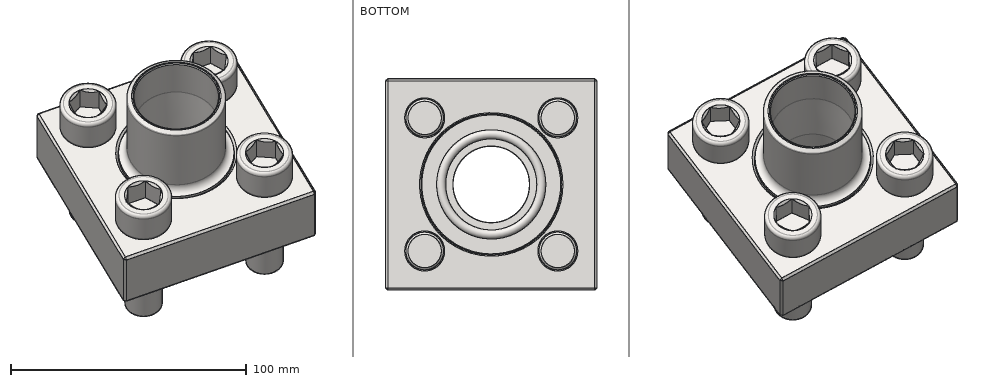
import cadquery as cq
import math

FLANGE_SIDE = 90.0
FLANGE_THICKNESS = 29.0
EDGE_CHAMFER = 1.0
NECK_HOLE_DIAMETER = 49.5
COLLAR_HOLE_DIAMETER = 61.0
SCREW_HOLE_DIAMETER = 17.0

SCREW_DIAMETER = 16.0
SCREW_LENGTH = 55.0
BOLT_CIRCLE_DIAMETER = 80.0
TIP_CHAMFER = 0.9
HEAD_DIAMETER = 24.0
HEAD_HEIGHT = SCREW_DIAMETER
HEAD_FILLET = 1.6
SOCKET_CORNER_DIAMETER = 16.2
SOCKET_DEPTH = 11
SOCKET_SIDES = 6
SOCKET_COUNTERSINK_ANGLE = 45
SCREW_COUNT = 4
SCREW_TURN = 360 / SCREW_COUNT

TOTAL_HEIGHT = 92
NECK_TOP = TOTAL_HEIGHT - (SCREW_LENGTH - FLANGE_THICKNESS)
PIPE_DIAMETER = 42.0
PIPE_BORE_DIAMETER = 36.0
PIPE_TIP_DIAMETER = 38.0
PIPE_BEVEL_ANGLE = 30
BEVEL_FILLET = 0.4
BORE_MOUTH_CHAMFER = 0.5
NECK_DIAMETER = 49.0
BORE_DIAMETER = 32.5
PIPE_BORE_DEPTH = 18.4
BORE_TAPER_LENGTH = 25.0
COLLAR_DIAMETER = 60.0
COLLAR_BOTTOM = -2.0
COLLAR_HEIGHT = 16.0
COLLAR_CHAMFER = 0.5

O_RING_OUTER_DIAMETER = 46.5
O_RING_INNER_DIAMETER = 38.7
O_RING_PROTRUSION = 0.9

COLLAR_TOP = COLLAR_BOTTOM + COLLAR_HEIGHT
SCREW_SPACING = BOLT_CIRCLE_DIAMETER / math.sqrt(2)
O_RING_SECTION = (O_RING_OUTER_DIAMETER - O_RING_INNER_DIAMETER) / 2
GROOVE_DEPTH = O_RING_SECTION - O_RING_PROTRUSION


def make_flange():
    """Chamfered block, stepped to hold the collar from above and drilled for the screws."""
    block = (
        cq.Workplane("XY")
        .box(FLANGE_SIDE, FLANGE_SIDE, FLANGE_THICKNESS, centered=(True, True, False))
        .edges()
        .chamfer(EDGE_CHAMFER)
    )
    hole_radius = NECK_HOLE_DIAMETER / 2
    neck_hole = cq.Workplane("XY").circle(hole_radius).extrude(FLANGE_THICKNESS)
    mouth_chamfer = cq.Workplane(
        cq.Solid.makeCone(
            hole_radius,
            hole_radius + EDGE_CHAMFER,
            EDGE_CHAMFER,
            pnt=cq.Vector(0, 0, FLANGE_THICKNESS - EDGE_CHAMFER),
        )
    )
    collar_recess = cq.Workplane("XY").circle(COLLAR_HOLE_DIAMETER / 2).extrude(COLLAR_TOP)
    screw_holes = (
        cq.Workplane("XY")
        .rect(SCREW_SPACING, SCREW_SPACING, forConstruction=True)
        .vertices()
        .circle(SCREW_HOLE_DIAMETER / 2)
        .extrude(FLANGE_THICKNESS)
    )
    return block.cut(neck_hole).cut(mouth_chamfer).cut(collar_recess).cut(screw_holes)


def make_neck():
    """Turned welding neck, with the O-ring groove cut into its bottom face."""
    pipe_radius = PIPE_DIAMETER / 2
    neck_radius = NECK_DIAMETER / 2
    collar_radius = COLLAR_DIAMETER / 2
    fillet_radius = neck_radius - pipe_radius
    fillet_top = FLANGE_THICKNESS + fillet_radius
    arc_mid_offset = fillet_radius * math.sqrt(0.5)
    bevel_width = (PIPE_DIAMETER - PIPE_TIP_DIAMETER) / 2
    bevel_height = bevel_width * math.tan(math.radians(PIPE_BEVEL_ANGLE))
    taper_top = NECK_TOP - PIPE_BORE_DEPTH
    profile = (
        cq.Workplane("XZ")
        .moveTo(BORE_DIAMETER / 2, COLLAR_BOTTOM)
        .lineTo(collar_radius - COLLAR_CHAMFER, COLLAR_BOTTOM)
        .lineTo(collar_radius, COLLAR_BOTTOM + COLLAR_CHAMFER)
        .lineTo(collar_radius, COLLAR_TOP)
        .lineTo(neck_radius, COLLAR_TOP)
        .lineTo(neck_radius, FLANGE_THICKNESS)
        .threePointArc(
            (neck_radius - arc_mid_offset, fillet_top - arc_mid_offset),
            (pipe_radius, fillet_top),
        )
        .lineTo(pipe_radius, NECK_TOP - bevel_height)
        .lineTo(PIPE_TIP_DIAMETER / 2, NECK_TOP)
        .lineTo(PIPE_BORE_DIAMETER / 2 + BORE_MOUTH_CHAMFER, NECK_TOP)
        .lineTo(PIPE_BORE_DIAMETER / 2, NECK_TOP - BORE_MOUTH_CHAMFER)
        .lineTo(PIPE_BORE_DIAMETER / 2, taper_top)
        .lineTo(BORE_DIAMETER / 2, taper_top - BORE_TAPER_LENGTH)
        .close()
    )
    groove = (
        cq.Workplane("XY", origin=(0, 0, COLLAR_BOTTOM))
        .circle(O_RING_OUTER_DIAMETER / 2)
        .circle(O_RING_INNER_DIAMETER / 2)
        .extrude(GROOVE_DEPTH)
    )
    largest_circle = cq.selectors.RadiusNthSelector(-1)
    rounded = (
        profile.revolve(360, (0, 0), (0, 1))
        .faces(cq.selectors.NearestToPointSelector((0, 0, NECK_TOP - bevel_height / 2)))
        .edges(largest_circle)
        .fillet(BEVEL_FILLET)
    )
    return rounded.cut(groove)


def make_o_ring():
    """Ring that fills the width of its groove and stands proud of the collar."""
    center_radius = (O_RING_OUTER_DIAMETER - O_RING_SECTION) / 2
    center_height = COLLAR_BOTTOM - O_RING_PROTRUSION + O_RING_SECTION / 2
    section = cq.Workplane("XZ").center(center_radius, center_height).circle(O_RING_SECTION / 2)
    return section.revolve(360, (-center_radius, 0), (-center_radius, 1))


def make_screw():
    """One screw with its head seated on Z = 0 and its shank pointing down."""
    head = (
        cq.Workplane("XY")
        .circle(HEAD_DIAMETER / 2)
        .extrude(HEAD_HEIGHT)
        .faces("<Z or >Z")
        .edges()
        .fillet(HEAD_FILLET)
    )
    shank = (
        cq.Workplane("XY")
        .circle(SCREW_DIAMETER / 2)
        .extrude(-SCREW_LENGTH)
        .faces("<Z")
        .edges()
        .chamfer(TIP_CHAMFER)
    )
    socket = (
        cq.Workplane("XY", origin=(0, 0, HEAD_HEIGHT))
        .polygon(SOCKET_SIDES, SOCKET_CORNER_DIAMETER)
        .extrude(-SOCKET_DEPTH)
    )
    corner_radius = SOCKET_CORNER_DIAMETER / 2
    countersink = cq.Workplane(
        cq.Solid.makeCone(
            corner_radius,
            0,
            corner_radius * math.tan(math.radians(SOCKET_COUNTERSINK_ANGLE)),
            pnt=cq.Vector(0, 0, HEAD_HEIGHT),
            dir=cq.Vector(0, 0, -1),
        )
    )
    return head.union(shank).cut(socket).cut(countersink)


def place_screws():
    """Screws around the bolt circle, each turned with its position by a quarter turn."""
    first = make_screw().translate((-SCREW_SPACING / 2, -SCREW_SPACING / 2, FLANGE_THICKNESS))
    return [first.rotate((0, 0, 0), (0, 0, 1), turn * SCREW_TURN) for turn in range(SCREW_COUNT)]


flange = make_flange()
neck = make_neck()
o_ring = make_o_ring()
screws = place_screws()

result = cq.Compound.makeCompound(
    [flange.val(), neck.val(), o_ring.val(), *[screw.val() for screw in screws]]
)